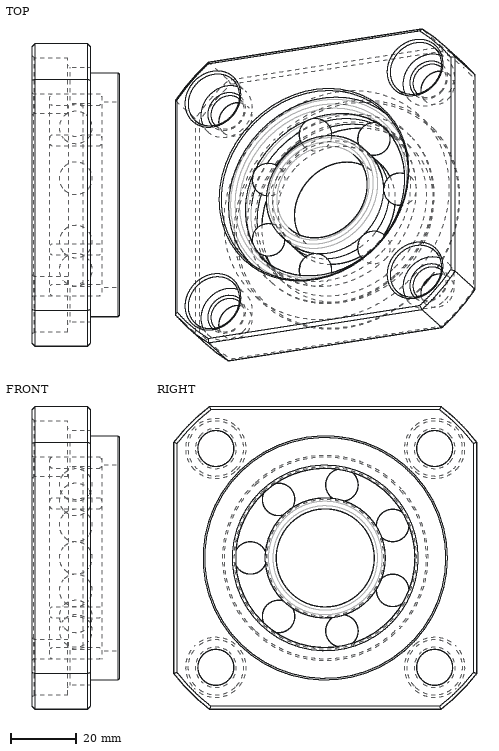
import cadquery as cq
import math


FLANGE_SIDE = 93.0
FLANGE_CORNER_DIAMETER = 117.0
FLANGE_THICKNESS = 18.0
FLANGE_CHAMFER = 1.0
BOSS_DIAMETER = 75.0
TOTAL_LENGTH = 27.0
FINE_CHAMFER = 0.5

BOLT_CIRCLE_DIAMETER = 94.95
BOLT_HOLE_DIAMETER = 11.0
COUNTERBORE_DIAMETER = 17.0
COUNTERBORE_DEPTH = 11.0
BOLT_HOLE_CHAMFER = 0.7
BOLT_HOLE_COUNT = 4
FIRST_BOLT_ANGLE = 45

BEARING_OUTER_DIAMETER = 62.0
BEARING_BORE = 30.0
BEARING_WIDTH = 16.0
RING_FILLET = 1.0
BALL_COUNT = 7
BALL_DIAMETER = 10.0
BALL_PITCH_DIAMETER = 45.9
RING_GAP = 9.0

BEARING_FACE_X = (TOTAL_LENGTH - BEARING_WIDTH) / 2
BEARING_BACK_X = BEARING_FACE_X + BEARING_WIDTH
BALL_PLANE_X = TOTAL_LENGTH / 2

BALL_RADIUS = BALL_DIAMETER / 2
BALL_PITCH_RADIUS = BALL_PITCH_DIAMETER / 2
OUTER_RING_BORE = BALL_PITCH_DIAMETER + RING_GAP
INNER_RING_DIAMETER = BALL_PITCH_DIAMETER - RING_GAP

SHOULDER_BORE = OUTER_RING_BORE + 2 * RING_FILLET


def cylinder(diameter, start_x, length):
    """Solid cylinder on the X axis."""
    return cq.Workplane("YZ", origin=(start_x, 0, 0)).circle(diameter / 2).extrude(length)


def make_flange():
    """Square plate with its corners turned to a circle and both rims chamfered."""
    square = cq.Workplane("YZ").rect(FLANGE_SIDE, FLANGE_SIDE).extrude(FLANGE_THICKNESS)
    plate = square.intersect(cylinder(FLANGE_CORNER_DIAMETER, 0, FLANGE_THICKNESS))
    return plate.faces("<X or >X").chamfer(FLANGE_CHAMFER)


def revolve_about_x(points):
    """Turn an (x, radius) outline about the X axis."""
    return cq.Workplane("XY").polyline(points).close().revolve(360, (0, 0, 0), (1, 0, 0))


def stepped_hole(mouth_diameter, mouth_chamfer, step_x, inner_diameter, end_x, step_chamfer=0):
    """Two-diameter hole on the X axis, entered at X = 0 through a small chamfer."""
    mouth = mouth_diameter / 2
    inner = inner_diameter / 2
    outline = [(0, 0), (0, mouth + mouth_chamfer), (mouth_chamfer, mouth), (step_x, mouth)]
    if step_chamfer:
        outline.append((step_x, inner + step_chamfer))
    outline += [(step_x + step_chamfer, inner), (end_x, inner), (end_x, 0)]
    return revolve_about_x(outline)


def make_housing():
    """Flange and boss with the stepped bearing seat and four counterbored holes."""
    boss = cylinder(BOSS_DIAMETER, 0, TOTAL_LENGTH).faces(">X").chamfer(FINE_CHAMFER)
    body = make_flange().union(boss)
    body = body.cut(
        stepped_hole(BEARING_OUTER_DIAMETER, FINE_CHAMFER, BEARING_BACK_X, SHOULDER_BORE, TOTAL_LENGTH)
    )
    bolt_hole = stepped_hole(
        COUNTERBORE_DIAMETER,
        BOLT_HOLE_CHAMFER,
        COUNTERBORE_DEPTH,
        BOLT_HOLE_DIAMETER,
        FLANGE_THICKNESS,
        BOLT_HOLE_CHAMFER,
    ).translate((0, BOLT_CIRCLE_DIAMETER / 2, 0))
    for i in range(BOLT_HOLE_COUNT):
        angle = FIRST_BOLT_ANGLE + i * 360 / BOLT_HOLE_COUNT
        body = body.cut(bolt_hole.rotate((0, 0, 0), (1, 0, 0), angle))
    return body


def make_ring(outer_diameter, inner_diameter):
    """Bearing ring with rounded rims and a ball groove."""
    ring = cylinder(outer_diameter, BEARING_FACE_X, BEARING_WIDTH)
    ring = ring.cut(cylinder(inner_diameter, BEARING_FACE_X, BEARING_WIDTH))
    ring = ring.faces("<X or >X").edges().fillet(RING_FILLET)
    ball_track = cq.Solid.makeTorus(
        BALL_PITCH_RADIUS, BALL_RADIUS, cq.Vector(BALL_PLANE_X, 0, 0), cq.Vector(1, 0, 0)
    )
    return ring.cut(cq.Workplane(ball_track))


def make_ball(index):
    """Ball on the pitch circle; the first one lies on the -Y side."""
    angle = math.pi + index * 2 * math.pi / BALL_COUNT
    center = (
        BALL_PLANE_X,
        BALL_PITCH_RADIUS * math.cos(angle),
        BALL_PITCH_RADIUS * math.sin(angle),
    )
    return cq.Workplane("YZ", origin=center).sphere(BALL_RADIUS)


housing = make_housing()
outer_ring = make_ring(BEARING_OUTER_DIAMETER, OUTER_RING_BORE)
inner_ring = make_ring(INNER_RING_DIAMETER, BEARING_BORE)
balls = [make_ball(i) for i in range(BALL_COUNT)]

result = cq.Compound.makeCompound([
    housing.val(),
    outer_ring.val(),
    inner_ring.val(),
    *[ball.val() for ball in balls],
])